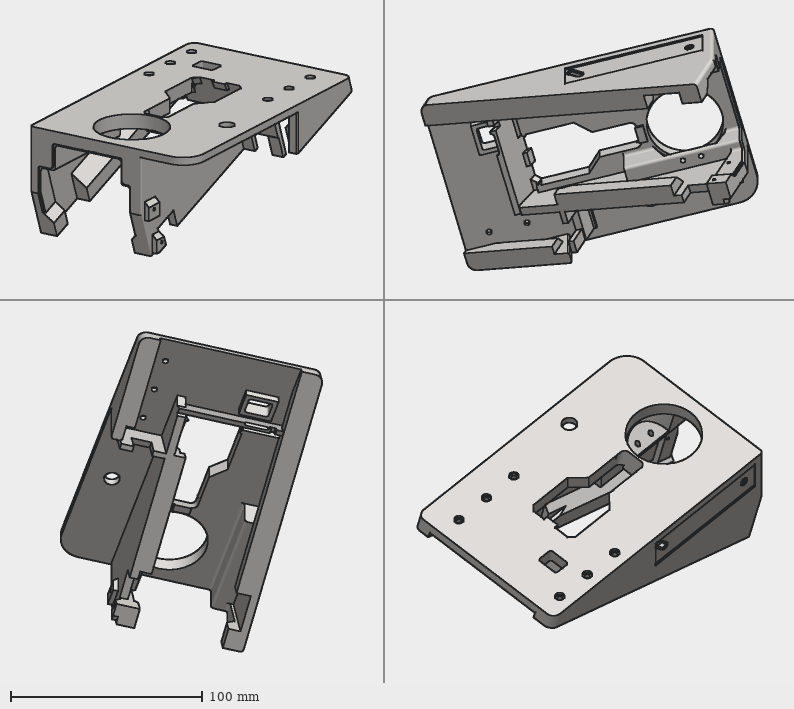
import cadquery as cq
import math


WIDTH, LENGTH, HEIGHT = 100.0, 159.4, 61.8
TILT = math.radians(20)
FOOT_SETBACK = 9.2
PLATE_CORNER_RADIUS, REAR_RADIUS = 12.7, 4.8
LEFT_EDGE_RADIUS, RIGHT_EDGE_RADIUS = 1.9, 0.8

PLATE_THICKNESS = 4.3
DECK_THICKNESS = 8.1

WALL_THICKNESS = 4.5
RIGHT_WALL_OUTER, RIGHT_WALL_END = 69.3, 122.7
LEFT_WALL_INNER = WALL_THICKNESS
RIGHT_WALL_INNER = RIGHT_WALL_OUTER - WALL_THICKNESS
POST_LEFT_INNER, POST_RIGHT_INNER, POST_LENGTH = 6.2, 61.4, 11.2
BLOCK_LEFT_INNER, BLOCK_RIGHT_INNER = 15.1, 56.1
BLOCK_BOTTOM = 22.3
BLOCK_LENGTH = 63.7
MOUTH_CHAMFER = 1.1
MOUTH_CORNER = 1.6

LIP_HEIGHT = 8.8
FOOT_LIP_LEFT, FOOT_LIP_RIGHT = 11.0, 59.3
REAR_LIP_LEFT, REAR_LIP_RIGHT = 12.3, 58.6
NOTCH_END, NOTCH_HEIGHT = 27.1, 10.4
REAR_LIP_START, RIGHT_LIP_END = 31.5, 98.8

WING_INNER, WING_LIP_INNER = 93.9, 89.2
WING_START, WING_LIP_START = 103.6, 111.5

RIB_THICKNESS = 3.2
DECK_RIB_FRONT, DECK_RIB_BOTTOM, DECK_RIB_TILT = 112.4, 18.6, math.radians(30)
RIB_SLOT_LEFT, RIB_SLOT_RIGHT, RIB_SLOT_TOP = 16.1, 19.1, 14.5
WING_RIB_FOOT, WING_RIB_STEP_DEPTH, WING_RIB_STEP = 99.3, 16.9, 0.6
WING_EDGE_CHAMFER, WING_BEAD = 0.8, 1.3
WING_SLOT_LEFT, WING_SLOT_RIGHT = 76.2, 87.0

BORE_X, BORE_Y, BORE_RADIUS = 45.6, 27.7, 20.1
DISH_TOP_RADIUS, DISH_BOTTOM_RADIUS = 21.7, 16.7
LEDGE_EDGE_DEPTH, LEDGE_ANGLE = 19.3, math.radians(40)
LEDGE_HOLE_X, LEDGE_HOLE_YS, LEDGE_HOLE_RADIUS = 60.0, (22.8, 32.7), 1.3
SLOT_X = 45.7
SLOT_WIDE, SLOT_NARROW = 30.6, 15.0
SLOT_FRONT, SLOT_TAPER_START, SLOT_TAPER_END, SLOT_REAR = 53.7, 76.0, 83.8, DECK_RIB_FRONT
SLOT_REAR_CHAMFER, SLOT_CORNER_RADIUS = 2.9, 2.7
RAMP_FRONT = 49.2
RAMP_BOTTOM = 9.5
RAMP_PAD_WIDTH = 9.2
SLOT_TAB_LEFT, SLOT_TAB_RIGHT, SLOT_TAB_LENGTH = 42.5, 50.4, 2.2
WINDOW_LEFT, WINDOW_RIGHT, WINDOW_FRONT, WINDOW_REAR = 20.5, 33.5, 124.8, 134.0
WINDOW_RADIUS, WINDOW_RIM = 1.5, 2.4
PASSAGE_X, PASSAGE_Y, PASSAGE_RADIUS = 85.7, 57.4, 4.1
SCREW_XS, SCREW_YS = (8.3, 82.0), (102.6, 123.2, 143.8)
SCREW_RADIUS, SCREW_HEAD_RADIUS, SCREW_HEAD_DEPTH = 1.5, 2.5, 1.6

PANEL_FRONT, PANEL_REAR, PANEL_TOP, PANEL_BOTTOM, PANEL_DEPTH = 5.9, 80.5, 5.1, 23.3, 1.0
PANEL_HOLE = (13.2, -14.0)
PANEL_SLOT = ((77.3, -9.4), (72.8, -14.7))
PANEL_BORE, PANEL_HEAD = 1.3, 2.4
PANEL_BORE_DEPTH, PANEL_HEAD_DEPTH = 4.8, 1.6

BOSS_RADIUS, BOSS_PROJECTION = 5.1, 2.7
BOSS_ALONG, BOSS_HEIGHTS, BOSS_HOLE_RADIUS = 8.3, (4.0, 25.7), 0.8

MARGIN = 8.0

REAR_LOW_Z = -HEIGHT + (LENGTH - FOOT_SETBACK) * math.tan(TILT)
REAR_TOP_Y = LENGTH + REAR_LOW_Z * math.tan(TILT)
BEVEL_TOP_Z = -HEIGHT + FOOT_SETBACK / math.tan(TILT)


def box(x0, x1, y0, y1, z0, z1):
    return cq.Workplane("XY").box(x1 - x0, y1 - y0, z1 - z0, centered=False).translate((x0, y0, z0))


def side_profile(points, x0, x1):
    """Extrudes a (Y, Z) outline from x0 to x1."""
    return cq.Workplane("YZ").workplane(offset=x0).polyline(points).close().extrude(x1 - x0)


def slope_plane(x):
    """Plane across X with its axes along the sloping underside and square to it."""
    return cq.Plane(
        origin=(x, FOOT_SETBACK, -HEIGHT),
        xDir=(0, math.cos(TILT), math.sin(TILT)),
        normal=(1, 0, 0),
    )


def slope_box(x0, x1, start, end, height):
    """Block from x0 to x1 standing on the sloping underside."""
    block = cq.Workplane(slope_plane(x0)).moveTo(start, -MARGIN).lineTo(end, -MARGIN)
    return block.lineTo(end, height).lineTo(start, height).close().extrude(x1 - x0)


def make_wedge(width):
    """Wedge from X = 0 to width with a bevelled front foot."""
    outline = [(0, 0), (REAR_TOP_Y, 0), (LENGTH, REAR_LOW_Z), (FOOT_SETBACK, -HEIGHT), (0, BEVEL_TOP_Z)]
    return side_profile(outline, 0, width)


def round_front(body, x, radius):
    """Rounds the upright and the bevelled front edge at x."""
    upright = cq.NearestToPointSelector((x, 0, BEVEL_TOP_Z / 2))
    bevel = cq.NearestToPointSelector((x, FOOT_SETBACK / 2, (BEVEL_TOP_Z - HEIGHT) / 2))
    return body.edges(cq.selectors.SumSelector(upright, bevel)).fillet(radius)


def make_envelope():
    body = round_front(make_wedge(WIDTH), 0, LEFT_EDGE_RADIUS)
    for x in (0, WIDTH):
        rear_edge = cq.NearestToPointSelector((x, (REAR_TOP_Y + LENGTH) / 2, REAR_LOW_Z / 2))
        body = body.edges(rear_edge).fillet(REAR_RADIUS)
    radius = PLATE_CORNER_RADIUS
    corner = box(WIDTH - radius, WIDTH, 0, radius, -HEIGHT, 0)
    rounding = cq.Workplane("XY").center(WIDTH - radius, radius).circle(radius).extrude(-HEIGHT)
    return body.cut(corner.cut(rounding))


def channel_cutter(length, grow):
    """Stepped channel from the front, widened by grow on every side."""
    top, step, floor = -DECK_THICKNESS + grow, -BLOCK_BOTTOM + grow, -HEIGHT - MARGIN
    left, right = BLOCK_LEFT_INNER - grow, BLOCK_RIGHT_INNER + grow
    wide_left, wide_right = POST_LEFT_INNER - grow, POST_RIGHT_INNER + grow
    points = [
        (wide_left, floor), (wide_left, step), (left, step), (left, top),
        (right, top), (right, step), (wide_right, step), (wide_right, floor),
    ]
    channel = cq.Workplane("XZ").polyline(points).close().extrude(-length)
    return channel.edges("|Y").edges("not <Z").fillet(MOUTH_CORNER)


def make_channel_frame():
    """Deck, both long walls, the front posts and the thick upper blocks behind the front opening."""
    frame = box(0, RIGHT_WALL_OUTER, 0, BLOCK_LENGTH, -HEIGHT, 0)
    frame = frame.cut(channel_cutter(BLOCK_LENGTH, 0)).cut(channel_cutter(MOUTH_CHAMFER, MOUTH_CHAMFER))
    frame = frame.cut(
        slope_box(
            POST_LEFT_INNER - MOUTH_CHAMFER, POST_RIGHT_INNER + MOUTH_CHAMFER,
            -MARGIN, MOUTH_CHAMFER, FOOT_SETBACK / math.sin(TILT),
        )
    )
    behind_posts = slope_box(LEFT_WALL_INNER, RIGHT_WALL_INNER, POST_LENGTH, LENGTH, HEIGHT)
    below_blocks = box(0, RIGHT_WALL_OUTER, 0, BLOCK_LENGTH, -HEIGHT, -BLOCK_BOTTOM)
    frame = frame.cut(behind_posts.intersect(below_blocks))
    frame = frame.union(box(0, LEFT_WALL_INNER, BLOCK_LENGTH, LENGTH, -HEIGHT, 0))
    frame = frame.union(box(RIGHT_WALL_INNER, RIGHT_WALL_OUTER, BLOCK_LENGTH, RIGHT_WALL_END, -HEIGHT, 0))
    frame = frame.union(box(0, RIGHT_WALL_OUTER, BLOCK_LENGTH, DECK_RIB_FRONT, -DECK_THICKNESS, 0))
    return frame.intersect(round_front(make_wedge(RIGHT_WALL_OUTER), RIGHT_WALL_OUTER, RIGHT_EDGE_RADIUS))


def lip(wall_x, inner_x, start, end):
    """Lip along the lower edge from wall_x to inner_x, with a 45 degree top."""
    plane = cq.Plane(
        origin=(0, FOOT_SETBACK + end * math.cos(TILT), -HEIGHT + end * math.sin(TILT)),
        xDir=(1, 0, 0),
        normal=(0, -math.cos(TILT), -math.sin(TILT)),
    )
    rise = abs(inner_x - wall_x)
    points = [(wall_x, 0), (inner_x, 0), (inner_x, LIP_HEIGHT), (wall_x, LIP_HEIGHT + rise)]
    return cq.Workplane(plane).polyline(points).close().extrude(end - start)


def make_lips():
    lips = lip(LEFT_WALL_INNER, FOOT_LIP_LEFT, 0, POST_LENGTH)
    lips = lips.union(lip(RIGHT_WALL_INNER, FOOT_LIP_RIGHT, 0, POST_LENGTH))
    lips = lips.union(lip(LEFT_WALL_INNER, REAR_LIP_LEFT, REAR_LIP_START, LENGTH + MARGIN))
    lips = lips.union(lip(RIGHT_WALL_INNER, REAR_LIP_RIGHT, REAR_LIP_START, RIGHT_LIP_END))
    wing_start = (WING_LIP_START - FOOT_SETBACK) / math.cos(TILT)
    return lips.union(lip(WING_INNER, WING_LIP_INNER, wing_start, LENGTH + MARGIN))


def rib(x0, x1, top_y, bottom, angle, thickness):
    """Cross wall leaning back toward its lower edge."""
    lean = bottom * math.tan(angle)
    points = [
        (top_y, 0), (top_y + lean, -bottom),
        (top_y + lean + thickness, -bottom), (top_y + thickness, 0),
    ]
    return side_profile(points, x0, x1)


def make_deck_rib():
    wall = rib(
        LEFT_WALL_INNER, RIGHT_WALL_OUTER, DECK_RIB_FRONT, DECK_RIB_BOTTOM, DECK_RIB_TILT, RIB_THICKNESS
    )
    return wall.cut(box(RIB_SLOT_LEFT, RIB_SLOT_RIGHT, 0, LENGTH, -HEIGHT, -RIB_SLOT_TOP))


def make_wing():
    """Right rear side wall with the notched rib that ties it to the channel."""
    wing = box(WING_INNER, WIDTH, WING_START, LENGTH, -HEIGHT, 0)
    wing = wing.edges("|Z and <Y").chamfer(WING_EDGE_CHAMFER)
    rib_top = WING_RIB_FOOT - math.tan(TILT) * (HEIGHT - (WING_RIB_FOOT - FOOT_SETBACK) * math.tan(TILT))
    legs = rib(RIGHT_WALL_OUTER, WIDTH, rib_top, HEIGHT, TILT, RIB_THICKNESS)
    legs = legs.intersect(box(RIGHT_WALL_OUTER, WING_INNER, 0, LENGTH, -HEIGHT, 0))
    legs = legs.cut(box(WING_SLOT_LEFT, WING_SLOT_RIGHT, 0, LENGTH, -HEIGHT, -WING_RIB_STEP_DEPTH))
    panel = rib(
        RIGHT_WALL_OUTER, WING_INNER, rib_top - WING_RIB_STEP, WING_RIB_STEP_DEPTH, TILT, RIB_THICKNESS
    )
    bead = rib(
        RIGHT_WALL_OUTER, WING_INNER, rib_top - WING_RIB_STEP - WING_BEAD,
        PLATE_THICKNESS + WING_BEAD, TILT, RIB_THICKNESS,
    )
    return wing.union(legs).union(panel).union(bead)


def make_bore():
    """Round opening, dished below the deck, that leaves a leaning ledge on the right block."""
    bore = cq.Workplane("XY").center(BORE_X, BORE_Y).circle(BORE_RADIUS).extrude(-DECK_THICKNESS)
    dish = cq.Workplane("XY", origin=(BORE_X, BORE_Y, -DECK_THICKNESS)).circle(DISH_TOP_RADIUS)
    dish = dish.workplane(offset=DECK_THICKNESS - BLOCK_BOTTOM).circle(DISH_BOTTOM_RADIUS).loft()
    bore = bore.union(dish)
    run = DISH_TOP_RADIUS
    ledge = [
        (BLOCK_RIGHT_INNER, -HEIGHT), (BLOCK_RIGHT_INNER, -LEDGE_EDGE_DEPTH),
        (BLOCK_RIGHT_INNER + run, -LEDGE_EDGE_DEPTH + run * math.tan(LEDGE_ANGLE)),
        (BLOCK_RIGHT_INNER + run, -HEIGHT),
    ]
    bore = bore.cut(cq.Workplane("XZ").polyline(ledge).close().extrude(-LENGTH))
    holes = cq.Workplane("XY").pushPoints([(LEDGE_HOLE_X, y) for y in LEDGE_HOLE_YS])
    return bore.union(holes.circle(LEDGE_HOLE_RADIUS).extrude(-HEIGHT / 2))


def leaning_end(front, rear, width, lean):
    """Block that moves back as it goes down, with its four leaning edges selected."""
    direction = cq.Vector(0, -math.sin(lean), math.cos(lean))
    plane = cq.Plane(origin=(SLOT_X, (front + rear) / 2, 0), xDir=(1, 0, 0), normal=direction)
    block = cq.Workplane(plane).rect(width, (rear - front) * math.cos(lean)).extrude(2 * MARGIN, both=True)
    return block.edges(cq.ParallelDirSelector(direction))


def make_slot():
    """Stepped opening through the deck; both ends lean back toward the bottom."""
    wide, narrow = SLOT_WIDE / 2, SLOT_NARROW / 2
    chamfer = SLOT_REAR_CHAMFER
    half = [
        (narrow, SLOT_FRONT), (narrow, SLOT_TAPER_START), (wide, SLOT_TAPER_END),
        (wide, SLOT_REAR - chamfer), (wide - chamfer, SLOT_REAR),
    ]
    points = half + [(-x, y) for x, y in reversed(half)]
    slot = cq.Workplane("XY").polyline(points).close().extrude(-BLOCK_BOTTOM).translate((SLOT_X, 0, 0))
    slot = slot.edges("|Z and <Y").fillet(SLOT_CORNER_RADIUS)
    front_lean = math.atan((SLOT_FRONT - RAMP_FRONT) / RAMP_BOTTOM)
    front = leaning_end(RAMP_FRONT, RAMP_FRONT + MARGIN, SLOT_NARROW, front_lean)
    front = front.fillet(SLOT_CORNER_RADIUS)
    rear = leaning_end(SLOT_REAR - MARGIN, SLOT_REAR, SLOT_WIDE, DECK_RIB_TILT).chamfer(SLOT_REAR_CHAMFER)
    tab = rib(
        SLOT_TAB_LEFT, SLOT_TAB_RIGHT, SLOT_REAR - SLOT_TAB_LENGTH, DECK_THICKNESS, DECK_RIB_TILT, MARGIN
    )
    return slot.union(front).union(rear).cut(tab)


def make_screw_holes():
    """Stepped screw holes in one row along each side of the plate."""
    points = [(x, y) for x in SCREW_XS for y in SCREW_YS]
    holes = cq.Workplane("XY").pushPoints(points)
    return holes.circle(SCREW_RADIUS).extrude(-DECK_THICKNESS).union(
        holes.circle(SCREW_HEAD_RADIUS).extrude(-SCREW_HEAD_DEPTH)
    )


def make_window():
    window = box(WINDOW_LEFT, WINDOW_RIGHT, WINDOW_FRONT, WINDOW_REAR, -HEIGHT, 0)
    return window.edges("|Z").fillet(WINDOW_RADIUS)


def panel_slot(radius, depth):
    (y0, z0), (y1, z1) = PANEL_SLOT
    length = math.hypot(y1 - y0, z1 - z0)
    angle = math.degrees(math.atan2(z1 - z0, y1 - y0))
    work = cq.Workplane("YZ").center((y0 + y1) / 2, (z0 + z1) / 2)
    return work.slot2D(length + 2 * radius, 2 * radius, angle).extrude(depth)


def make_side_panel():
    """Shallow recess on the left side with a stepped hole and a stepped slanted slot."""
    panel = box(0, PANEL_DEPTH, PANEL_FRONT, PANEL_REAR, -PANEL_BOTTOM, -PANEL_TOP)
    for radius, depth in ((PANEL_BORE, PANEL_BORE_DEPTH), (PANEL_HEAD, PANEL_HEAD_DEPTH)):
        panel = panel.union(cq.Workplane("YZ").center(*PANEL_HOLE).circle(radius).extrude(depth))
        panel = panel.union(panel_slot(radius, depth))
    return panel


def make_bosses():
    """Screw bosses on the outside of the right foot, each with a 45 degree top."""
    bosses = cq.Workplane("XY")
    for height in BOSS_HEIGHTS:
        y = FOOT_SETBACK + BOSS_ALONG * math.cos(TILT) - height * math.sin(TILT)
        z = -HEIGHT + BOSS_ALONG * math.sin(TILT) + height * math.cos(TILT)
        x, tip = RIGHT_WALL_OUTER, RIGHT_WALL_OUTER + BOSS_PROJECTION
        top = z + BOSS_RADIUS
        bottom = z - BOSS_RADIUS
        points = [(x - 1.6, top), (x, top), (tip, top - BOSS_PROJECTION), (tip, bottom), (x - 1.6, bottom)]
        boss = cq.Workplane("XZ", origin=(0, y, 0)).polyline(points).close().extrude(BOSS_RADIUS, both=True)
        bosses = bosses.union(boss)
    return bosses


def make_boss_holes():
    holes = cq.Workplane(slope_plane(BLOCK_RIGHT_INNER))
    holes = holes.pushPoints([(BOSS_ALONG, height) for height in BOSS_HEIGHTS])
    return holes.circle(BOSS_HOLE_RADIUS).extrude(WIDTH - BLOCK_RIGHT_INNER)


def make_foot_notches():
    """Gaps behind both feet: through the right wall, only inside the left wall."""
    right = slope_box(BLOCK_RIGHT_INNER, RIGHT_WALL_OUTER + MARGIN, POST_LENGTH, NOTCH_END, NOTCH_HEIGHT)
    left = slope_box(LEFT_WALL_INNER, BLOCK_LEFT_INNER, POST_LENGTH, NOTCH_END, NOTCH_HEIGHT)
    return right.union(left)


def make_passage():
    return cq.Workplane("XY").center(PASSAGE_X, PASSAGE_Y).circle(PASSAGE_RADIUS).extrude(-PLATE_THICKNESS)


def make_ramp_pad():
    """Thicker deck under the leaning front end of the slot."""
    half = RAMP_PAD_WIDTH / 2
    return box(SLOT_X - half, SLOT_X + half, RAMP_FRONT, SLOT_FRONT, -RAMP_BOTTOM, 0)


def make_window_rim():
    rim = WINDOW_RIM
    return box(
        WINDOW_LEFT - rim, WINDOW_RIGHT + rim, WINDOW_FRONT - rim, WINDOW_REAR + rim, -DECK_THICKNESS, 0
    )


result = box(0, WIDTH, 0, LENGTH, -PLATE_THICKNESS, 0)
for addition in (
    make_channel_frame(), make_lips(), make_deck_rib(), make_wing(), make_bosses(),
    make_ramp_pad(), make_window_rim(),
):
    result = result.union(addition)
result = result.intersect(make_envelope())
for cutter in (
    make_bore(), make_slot(), make_window(), make_screw_holes(), make_passage(),
    make_side_panel(), make_foot_notches(), make_boss_holes(),
):
    result = result.cut(cutter)